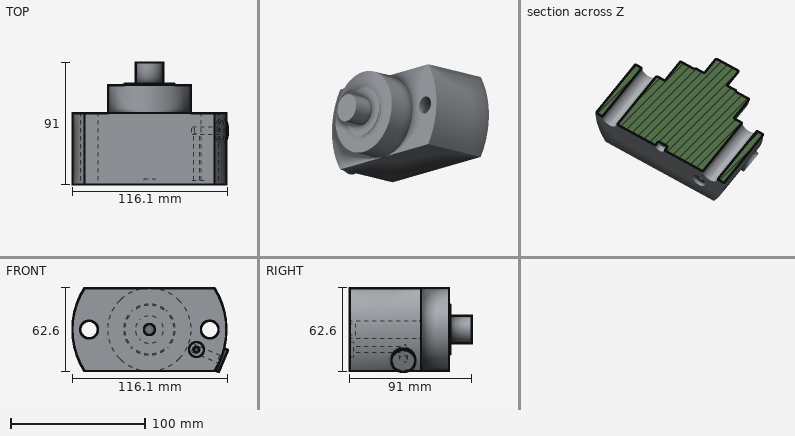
import cadquery as cq
import math

body_diameter = 114.9
body_height = 61.7
body_length = 53.2

boss_diameter = 62.0
boss_length = 20.9
lip_diameter = 38.3
lip_length = 0.3
collar_diameter = 36.5
collar_length = 0.7
overall_length = 91.0
shaft_diameter = 20.7

mounting_hole_diameter = 13.0
mounting_hole_offset = 44.9
center_hole_diameter = 8.2
center_hole_depth = 4.3
port_diameter = 4.2
port_radius = 38.1
port_counterbore_diameter = 11.1
port_counterbore_depth = 3.0

plug_angle = 23.0
plug_diameter = 17.9
plug_face_radius = 59.9
plug_position = 40.0
plug_embedment = 4.1
cross_bore_diameter = 5.8
cross_bore_inner_radius = port_radius - cross_bore_diameter / 2


def cylinder_along_y(diameter, start, length, x=0, z=0):
    return cq.Workplane(cq.Solid.makeCylinder(
        diameter / 2, length, cq.Vector(x, start, z), cq.Vector(0, 1, 0)))


def radial_cylinder(diameter, inner_radius, outer_radius):
    """Cylinder along the plug axis between two distances from the body axis."""
    angle = math.radians(plug_angle)
    direction = cq.Vector(math.cos(angle), 0, -math.sin(angle))
    start = direction * inner_radius + cq.Vector(0, plug_position, 0)
    return cq.Workplane(cq.Solid.makeCylinder(
        diameter / 2, outer_radius - inner_radius, start, direction))


def make_body():
    flats = cq.Workplane("XY").box(
        body_diameter, body_length, body_height, centered=(True, False, True))
    return cylinder_along_y(body_diameter, 0, body_length).intersect(flats)


def add_nose(part):
    position = body_length
    for diameter, length in (
        (boss_diameter, boss_length),
        (lip_diameter, lip_length),
        (collar_diameter, collar_length),
    ):
        part = part.union(cylinder_along_y(diameter, position, length))
        position += length
    return part.union(cylinder_along_y(shaft_diameter, position, overall_length - position))


def cut_front_holes(part):
    for x in (-mounting_hole_offset, mounting_hole_offset):
        part = part.cut(cylinder_along_y(mounting_hole_diameter, 0, body_length, x))
    return part.cut(cylinder_along_y(center_hole_diameter, 0, center_hole_depth))


def cut_port(part):
    x = port_radius * math.cos(math.radians(plug_angle))
    z = -port_radius * math.sin(math.radians(plug_angle))
    part = part.cut(cylinder_along_y(port_counterbore_diameter, 0, port_counterbore_depth, x, z))
    part = part.cut(cylinder_along_y(port_diameter, 0, plug_position, x, z))
    bore_end_radius = plug_face_radius - plug_embedment
    return part.cut(radial_cylinder(cross_bore_diameter, cross_bore_inner_radius, bore_end_radius))


def add_plug(part):
    inner_radius = plug_face_radius - plug_embedment
    return part.union(radial_cylinder(plug_diameter, inner_radius, plug_face_radius))


result = add_plug(cut_port(cut_front_holes(add_nose(make_body()))))